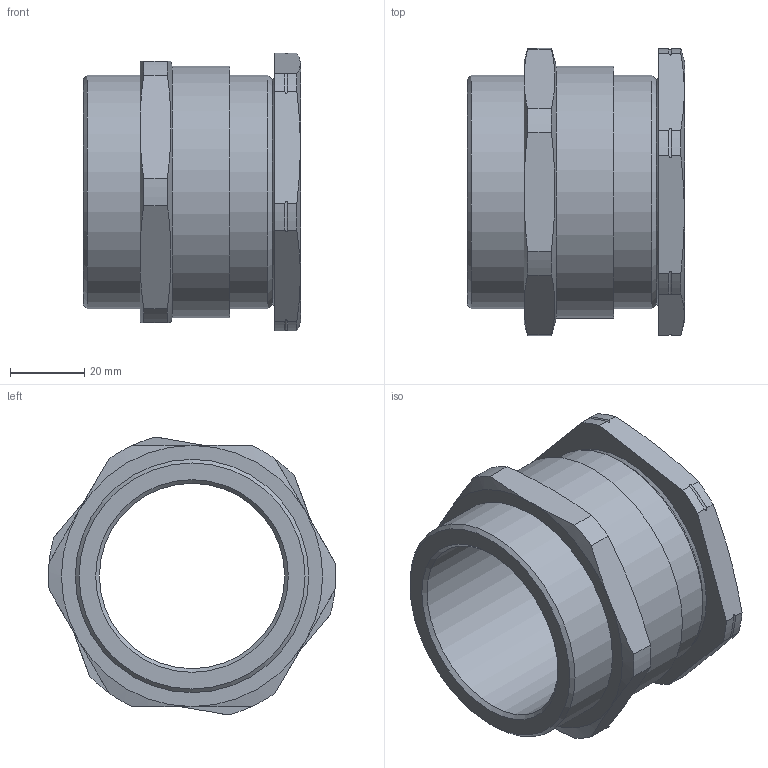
import cadquery as cq
import math

TOTAL_LENGTH = 58.6
BORE_RADIUS = 25.0
BORE_CHAMFER = 1.0

THREAD_RADIUS = 31.5
THREAD_CHAMFER = 1.0
COLLAR_RADIUS = 34.0
COLLAR_END_X = 39.5

ACROSS_FLATS = 70.5
CORNER_RADIUS = 38.755
NUT_CONE_ANGLE = 15.0

BODY_NUT_START_X = 15.3
BODY_NUT_END_X = 23.95

CAP_NUT_THICKNESS = 6.95
CAP_NUT_START_X = TOTAL_LENGTH - CAP_NUT_THICKNESS
CAP_NUT_FACE_RADIUS = 35.0
CAP_NUT_TURN = 10.0
CORNER_GROOVE_WIDTH = 0.8
CORNER_GROOVE_DEPTH = 0.25
CORNER_GROOVE_X = 54.75

WAIST_X = 51.0
WAIST_RADIUS = 30.3
WAIST_FLARE_RADIUS = 31.0


def revolve_about_x(points):
    """Turn a closed (x, radius) outline about the X axis."""
    return cq.Workplane("XY").polyline(points).close().revolve(360, (0, 0, 0), (1, 0, 0))


def hex_prism(start_x, end_x, turn):
    """Hexagonal prism along X with a corner on +Y, then turned about X."""
    sharp_corner_diameter = ACROSS_FLATS / math.cos(math.radians(30))
    prism = (
        cq.Workplane("YZ", origin=(start_x, 0, 0))
        .polygon(6, sharp_corner_diameter)
        .extrude(end_x - start_x)
    )
    return prism.rotate((0, 0, 0), (1, 0, 0), turn)


def cone_depth(end_radius):
    """Axial depth of a conical nut face between its end circle and the corner circle."""
    return (CORNER_RADIUS - end_radius) * math.tan(math.radians(NUT_CONE_ANGLE))


def make_body():
    """Left thread, collar, right thread and flared waist as one turned solid."""
    thread_tip_radius = THREAD_RADIUS - THREAD_CHAMFER
    waist_chamfer = THREAD_RADIUS - WAIST_RADIUS
    return revolve_about_x([
        (0, 0),
        (0, thread_tip_radius),
        (THREAD_CHAMFER, THREAD_RADIUS),
        (BODY_NUT_START_X, THREAD_RADIUS),
        (BODY_NUT_START_X, COLLAR_RADIUS),
        (COLLAR_END_X, COLLAR_RADIUS),
        (COLLAR_END_X, THREAD_RADIUS),
        (WAIST_X - waist_chamfer, THREAD_RADIUS),
        (WAIST_X, WAIST_RADIUS),
        (CAP_NUT_START_X, WAIST_FLARE_RADIUS),
        (TOTAL_LENGTH, WAIST_FLARE_RADIUS),
        (TOTAL_LENGTH, 0),
    ])


def make_body_nut():
    """Hexagon with both ends coned; the right cone runs down to the collar."""
    flat_radius = ACROSS_FLATS / 2
    envelope = revolve_about_x([
        (BODY_NUT_START_X, 0),
        (BODY_NUT_START_X, flat_radius),
        (BODY_NUT_START_X + cone_depth(flat_radius), CORNER_RADIUS),
        (BODY_NUT_END_X - cone_depth(COLLAR_RADIUS), CORNER_RADIUS),
        (BODY_NUT_END_X, COLLAR_RADIUS),
        (BODY_NUT_END_X, 0),
    ])
    return hex_prism(BODY_NUT_START_X, BODY_NUT_END_X, 0).intersect(envelope)


def make_cap_nut():
    """Turned hexagon, coned on the right only, with a rounded groove across each corner."""
    half_groove = CORNER_GROOVE_WIDTH / 2
    envelope = (
        cq.Workplane("XY")
        .moveTo(CAP_NUT_START_X, 0)
        .lineTo(CAP_NUT_START_X, CORNER_RADIUS)
        .lineTo(CORNER_GROOVE_X - half_groove, CORNER_RADIUS)
        .threePointArc(
            (CORNER_GROOVE_X, CORNER_RADIUS - CORNER_GROOVE_DEPTH),
            (CORNER_GROOVE_X + half_groove, CORNER_RADIUS),
        )
        .lineTo(TOTAL_LENGTH - cone_depth(CAP_NUT_FACE_RADIUS), CORNER_RADIUS)
        .lineTo(TOTAL_LENGTH, CAP_NUT_FACE_RADIUS)
        .lineTo(TOTAL_LENGTH, 0)
        .close()
        .revolve(360, (0, 0, 0), (1, 0, 0))
    )
    return hex_prism(CAP_NUT_START_X, TOTAL_LENGTH, CAP_NUT_TURN).intersect(envelope)


def make_bore():
    """Through bore, widened by a chamfer at its left mouth."""
    return revolve_about_x([
        (0, 0),
        (0, BORE_RADIUS + BORE_CHAMFER),
        (BORE_CHAMFER, BORE_RADIUS),
        (TOTAL_LENGTH, BORE_RADIUS),
        (TOTAL_LENGTH, 0),
    ])


result = make_body().union(make_body_nut()).union(make_cap_nut()).cut(make_bore())